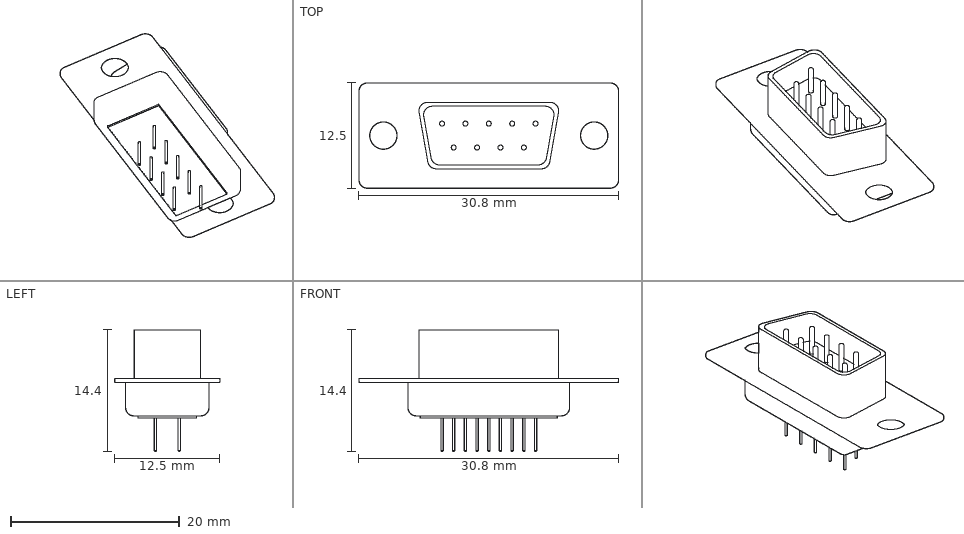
import cadquery as cq
import math

FLANGE_LENGTH = 30.8
FLANGE_WIDTH = 12.5
FLANGE_THICKNESS = 0.5
CORNER_RADIUS = 1.02
RIM_FILLET = 0.12
MOUNT_HOLE_DIAMETER = 3.2
MOUNT_HOLE_SPACING = 24.98

SHROUD_TOP_WIDTH = 16.95
SHROUD_DEPTH = 7.9
SHROUD_HEIGHT = 5.75
SHROUD_WALL = 0.45
SHROUD_TAPER = math.radians(10)

CAN_LENGTH = 19.2
CAN_WIDTH = 9.92
CAN_HEIGHT = 3.97

BLOCK_LENGTH = 16.25
BLOCK_WIDTH = SHROUD_DEPTH - 2 * SHROUD_WALL
BLOCK_PROTRUSION = 0.25
CAVITY_DEPTH = 3.7

CONTACT_PITCH = 2.77
CONTACT_ROW_SPACING = 2.83
CONTACT_DIAMETER = 0.6
CONTACT_TIP_FILLET = 0.2
CONTACT_TIP_DROP = 0.22
TAIL_DIAMETER = 0.3
TAIL_LENGTH = 3.95
TAIL_TIP_CHAMFER = 0.1
REAR_ROW_COUNT = 5
FRONT_ROW_COUNT = 4

RIM_Z = FLANGE_THICKNESS + SHROUD_HEIGHT
FLOOR_Z = RIM_Z - CAVITY_DEPTH
BLOCK_BOTTOM_Z = -CAN_HEIGHT - BLOCK_PROTRUSION
CONTACT_TIP_Z = RIM_Z - CONTACT_TIP_DROP
TAIL_TIP_Z = BLOCK_BOTTOM_Z - TAIL_LENGTH


def d_prism(inset, bottom_z, top_z):
    """Round-cornered D outline, set in from the shroud's outside, between two levels."""
    half_depth = SHROUD_DEPTH / 2 - inset
    slope = math.tan(SHROUD_TAPER)
    half_middle = SHROUD_TOP_WIDTH / 2 - SHROUD_DEPTH / 2 * slope - inset / math.cos(SHROUD_TAPER)
    half_top = half_middle + half_depth * slope
    half_bottom = half_middle - half_depth * slope
    corners = [
        (-half_top, half_depth),
        (half_top, half_depth),
        (half_bottom, -half_depth),
        (-half_bottom, -half_depth),
    ]
    return (
        cq.Workplane("XY", origin=(0, 0, bottom_z))
        .polyline(corners)
        .close()
        .extrude(top_z - bottom_z)
        .edges("|Z")
        .fillet(CORNER_RADIUS)
    )


def block_base():
    """Rectangular lower part of the insert, from the flange underside to below the can."""
    return cq.Workplane("XY", origin=(0, 0, BLOCK_BOTTOM_Z)).box(
        BLOCK_LENGTH, BLOCK_WIDTH, -BLOCK_BOTTOM_Z, centered=(True, True, False)
    )


def make_flange():
    """Thin plate with rounded corners, two mounting holes and softened rims."""
    return (
        cq.Workplane("XY")
        .box(FLANGE_LENGTH, FLANGE_WIDTH, FLANGE_THICKNESS, centered=(True, True, False))
        .edges("|Z")
        .fillet(CORNER_RADIUS)
        .faces(">Z")
        .workplane()
        .pushPoints([(-MOUNT_HOLE_SPACING / 2, 0), (MOUNT_HOLE_SPACING / 2, 0)])
        .hole(MOUNT_HOLE_DIAMETER)
        .faces("<Z or >Z")
        .edges()
        .fillet(RIM_FILLET)
    )


def make_can():
    """Rounded can hanging below the flange."""
    return (
        cq.Workplane("XY", origin=(0, 0, -CAN_HEIGHT))
        .box(CAN_LENGTH, CAN_WIDTH, CAN_HEIGHT, centered=(True, True, False))
        .edges("|Z or <Z")
        .fillet(CORNER_RADIUS)
    )


def make_shell():
    """Flange, shroud and can in one piece, opened right through for the insert."""
    shroud = d_prism(0, 0, RIM_Z)
    opening = d_prism(SHROUD_WALL, 0, RIM_Z)
    return make_flange().union(shroud).union(make_can()).cut(opening).cut(block_base())


def contact_positions():
    """Two staggered rows, the longer one on the +Y side."""
    rows = [
        (REAR_ROW_COUNT, CONTACT_ROW_SPACING / 2),
        (FRONT_ROW_COUNT, -CONTACT_ROW_SPACING / 2),
    ]
    return [
        ((index - (count - 1) / 2) * CONTACT_PITCH, y)
        for count, y in rows
        for index in range(count)
    ]


def make_contact(x, y):
    """Round-tipped contact pin in the cavity and a thinner tail below the block."""
    pin = (
        cq.Workplane("XY", origin=(x, y, FLOOR_Z))
        .circle(CONTACT_DIAMETER / 2)
        .extrude(CONTACT_TIP_Z - FLOOR_Z)
        .faces(">Z")
        .edges()
        .fillet(CONTACT_TIP_FILLET)
    )
    tail = (
        cq.Workplane("XY", origin=(x, y, TAIL_TIP_Z))
        .circle(TAIL_DIAMETER / 2)
        .extrude(TAIL_LENGTH)
        .faces("<Z")
        .edges()
        .chamfer(TAIL_TIP_CHAMFER)
    )
    return pin, tail


def make_insert():
    """Block filling the shell up to the cavity floor, with its contacts."""
    insert = block_base().union(d_prism(SHROUD_WALL, 0, FLOOR_Z))
    for x, y in contact_positions():
        pin, tail = make_contact(x, y)
        insert = insert.union(pin).union(tail)
    return insert


shell = make_shell()
insert = make_insert()
result = cq.Compound.makeCompound([shell.solids().val(), insert.solids().val()])